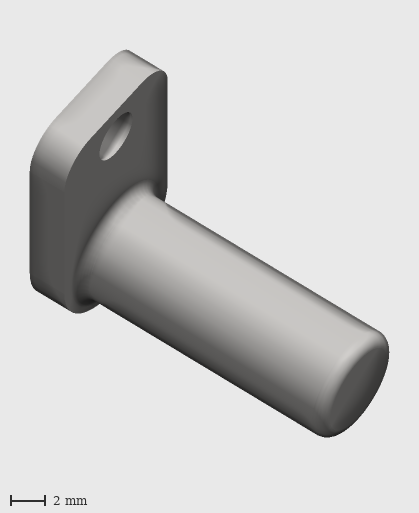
import cadquery as cq

total_length = 20.0
plate_width = 10.0
plate_height = 17.5
plate_thickness = 2.5
top_corner_radius = 2.5

pin_diameter = 7.0
pin_drop = 0.5
root_fillet_radius = 0.7
tip_round_radius = 0.75

hole_diameter = 3.2
hole_to_top_edge = 2.5

half_width = plate_width / 2
pin_radius = pin_diameter / 2
plate_top = plate_height - half_width


def make_plate():
    """Plate with a full round bottom, rounded top corners and a through hole."""
    blank = (
        cq.Workplane("YZ")
        .moveTo(-half_width, 0)
        .threePointArc((0, -half_width), (half_width, 0))
        .lineTo(half_width, plate_top)
        .lineTo(-half_width, plate_top)
        .close()
        .extrude(plate_thickness)
    )
    rounded = blank.edges("|X and >Z").fillet(top_corner_radius)
    hole = (
        cq.Workplane("YZ")
        .center(0, plate_top - hole_to_top_edge)
        .circle(hole_diameter / 2)
        .extrude(plate_thickness)
    )
    return rounded.cut(hole)


def make_pin():
    """Pin along X, with a concave fillet at the plate and a rounded tip."""
    root_end = plate_thickness + root_fillet_radius
    tip_start = total_length - tip_round_radius
    return (
        cq.Workplane("XY")
        .moveTo(plate_thickness, 0)
        .lineTo(plate_thickness, pin_radius + root_fillet_radius)
        .radiusArc((root_end, pin_radius), -root_fillet_radius)
        .lineTo(tip_start, pin_radius)
        .radiusArc((total_length, pin_radius - tip_round_radius), tip_round_radius)
        .lineTo(total_length, 0)
        .close()
        .revolve(360, (0, 0, 0), (1, 0, 0))
        .translate((0, 0, -pin_drop))
    )


result = make_plate().union(make_pin())